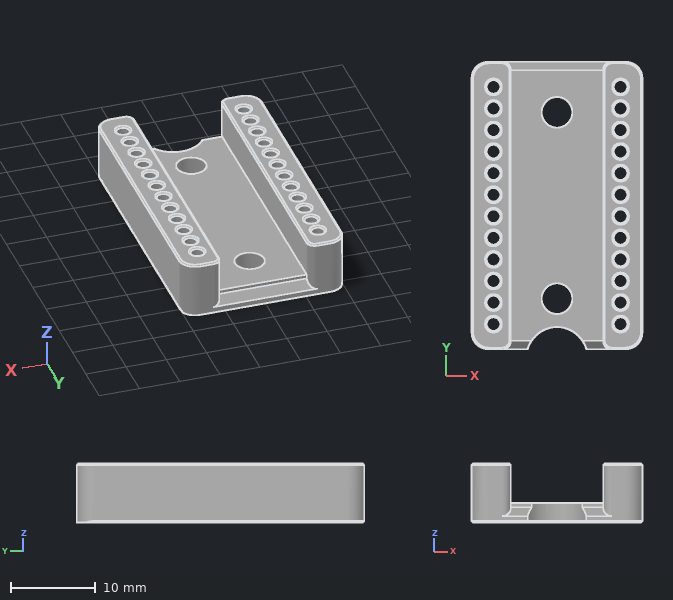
import cadquery as cq

length = 33.95
width = 20.2
height = 7.0
corner_radius = 2.0
edge_chamfer = 0.2

channel_width = 10.9
floor_height = 2.35
rail_end_radius = 1.0
end_ramp_size = 1.02
end_ramp_foot = 0.78

pin_count = 12
pin_pitch = 2.55
pin_row_spacing = 15.0
pin_diameter = 1.6
pin_rim_chamfer = 0.2

mount_diameter = 3.6
mount_spacing = 22.0

notch_radius = 3.6
notch_apex_inset = 2.6


def make_floor():
    """Slab with the notch, a lower chamfer that skips the +Y end, and a ramp at both channel ends."""
    outline = cq.Workplane("XY").rect(width, length).extrude(floor_height)
    notch_center_y = -length / 2 + notch_apex_inset - notch_radius
    notch = cq.Workplane("XY").center(0, notch_center_y).circle(notch_radius).extrude(floor_height)
    chamfered = (
        outline.edges("|Z and <Y")
        .fillet(corner_radius)
        .cut(notch)
        .faces("<Z")
        .edges("not >Y")
        .chamfer(edge_chamfer)
    )
    slab = chamfered.intersect(outline.edges("|Z").fillet(corner_radius))
    ramp_span = channel_width + 2 * rail_end_radius
    half_length = length / 2
    ramp_cut = (
        cq.Workplane("YZ")
        .polyline(
            [
                (-half_length, end_ramp_foot),
                (-half_length + end_ramp_size, end_ramp_foot + end_ramp_size),
                (-half_length + end_ramp_size, floor_height),
                (-half_length, floor_height),
            ]
        )
        .close()
        .extrude(ramp_span / 2, both=True)
    )
    return slab.cut(ramp_cut).cut(ramp_cut.mirror("XZ"))


def make_rail(side):
    """Rail along one long side (-1 or +1), standing on the ramp foot level."""
    rail_width = (width - channel_width) / 2
    outer, inner = (">X", "<X") if side > 0 else ("<X", ">X")
    return (
        cq.Workplane("XY", origin=(side * (width - rail_width) / 2, 0, end_ramp_foot))
        .rect(rail_width, length)
        .extrude(height - end_ramp_foot)
        .edges("|Z and " + outer)
        .fillet(corner_radius)
        .edges("|Z and " + inner)
        .fillet(rail_end_radius)
        .faces(">Z")
        .edges()
        .chamfer(edge_chamfer)
    )


def make_pin_holes():
    """Two rows of through holes with a chamfered rim at the top."""
    pin_radius = pin_diameter / 2
    hole = (
        cq.Workplane("XZ")
        .polyline(
            [
                (0, 0),
                (pin_radius, 0),
                (pin_radius, height - pin_rim_chamfer),
                (pin_radius + pin_rim_chamfer, height),
                (0, height),
            ]
        )
        .close()
        .revolve(360, (0, 0), (0, 1))
        .val()
    )
    return (
        cq.Workplane("XY")
        .rarray(pin_row_spacing, pin_pitch, 2, pin_count)
        .eachpoint(lambda place: hole.moved(place), combine=False)
    )


def make_mount_holes():
    """Two mounting holes through the floor on the centre line."""
    return (
        cq.Workplane("XY")
        .rarray(0.35, mount_spacing, 1, 2)
        .circle(mount_diameter / 2)
        .extrude(floor_height)
    )


body = make_floor().union(make_rail(-1)).union(make_rail(1))
result = body.cut(make_pin_holes()).cut(make_mount_holes())